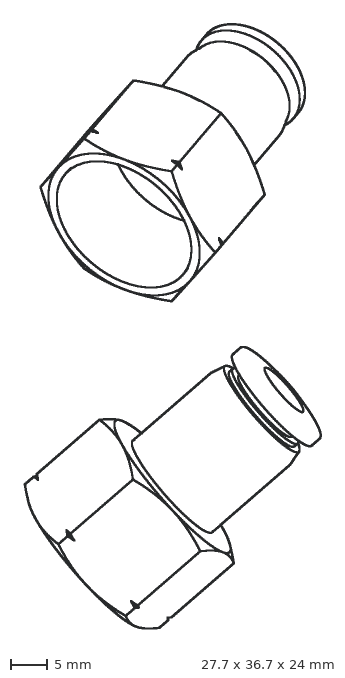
import cadquery as cq
import math

total_length = 36.7
through_radius = 4.0

hex_across_flats = 24.0
hex_length = 16.0
hex_flat_radius = hex_across_flats / 2
hex_corner_radius = hex_flat_radius / math.cos(math.pi / 6)
corner_chamfer_angle = math.radians(30)
corner_chamfer_length = (hex_corner_radius - hex_flat_radius) * math.tan(corner_chamfer_angle)

nick_position = 3.05
nick_depth = 0.5
nick_half_width = 0.25

bore_mouth_radius = 10.68
bore_depth = 14.68
bore_radial_taper = 1 / 32
bore_end_radius = bore_mouth_radius - bore_depth * bore_radial_taper

body_radius = 8.35
body_taper_start = 30.5
body_end = 32.6
body_end_radius = 7.8
collar_radius = 6.83
collar_end = 33.2
neck_radius = 5.58
button_start = 34.5
button_rim_end = 36.1
button_radius = 8.33
button_face_radius = 5.5
button_rim_fillet = 0.22


def revolve_about_y(points):
    """Revolve a closed (radius, Y) outline about the Y axis."""
    profile = cq.Workplane("XY").polyline(points).close()
    return profile.revolve(360, (0, 0, 0), (0, 1, 0))


def make_nut():
    hexagon = (
        cq.Workplane("XZ")
        .polygon(6, 2 * hex_corner_radius)
        .extrude(-hex_length)
    )
    envelope = revolve_about_y([
        (0, 0),
        (hex_flat_radius, 0),
        (hex_corner_radius, corner_chamfer_length),
        (hex_corner_radius, nick_position - nick_half_width),
        (hex_corner_radius - nick_depth, nick_position),
        (hex_corner_radius, nick_position + nick_half_width),
        (hex_corner_radius, hex_length - corner_chamfer_length),
        (hex_flat_radius, hex_length),
        (0, hex_length),
    ])
    return hexagon.intersect(envelope)


def make_tube():
    tube = revolve_about_y([
        (0, 0),
        (body_radius, 0),
        (body_radius, body_taper_start),
        (body_end_radius, body_end),
        (collar_radius, body_end),
        (collar_radius, collar_end),
        (neck_radius, collar_end),
        (neck_radius, button_start),
        (button_radius, button_start),
        (button_radius, button_rim_end),
        (button_face_radius, total_length),
        (0, total_length),
    ])
    on_rim = cq.selectors.BoxSelector(
        (-total_length, button_rim_end - button_rim_fillet / 2, -total_length),
        (total_length, button_rim_end + button_rim_fillet / 2, total_length),
        boundingbox=True,
    )
    return tube.edges(on_rim).fillet(button_rim_fillet)


def make_bore():
    return revolve_about_y([
        (0, 0),
        (bore_mouth_radius, 0),
        (bore_end_radius, bore_depth),
        (through_radius, bore_depth),
        (through_radius, total_length),
        (0, total_length),
    ])


result = make_nut().union(make_tube()).cut(make_bore())